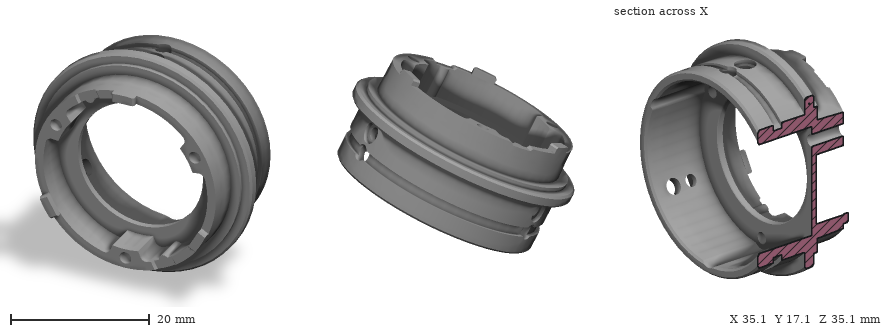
import cadquery as cq
import math


body_height = 16.1
tab_height = 1.0
rear_radius = 15.58
flange_radius = 17.55
flange_start = 8.8
flange_end = 10.63
step_radius = 16.05
step_end = 11.3
nose_base_radius = 14.55
nose_tip_radius = 14.42
groove_radius = 15.0
groove_start = 3.0
groove_end = 4.5
edge_chamfer = 0.3

bore_radius = 10.0
rear_bore_radius = 14.05
rear_bore_chamfer = 0.3
shoulder_chamfer = 0.1
shoulder_thickness = 1.02
pocket_radius = 13.12
pocket_depth = 5.0
pocket_floor = body_height - pocket_depth
rear_bore_end = pocket_floor - shoulder_thickness

boss_angles = (30, 150, 270)
boss_inner_radius = 11.4
boss_half_angle = 10.3
boss_flank_angle = 23.0
boss_fillet = 1.0
boss_root_half_angle = boss_flank_angle - math.degrees(math.asin(
    boss_inner_radius * math.sin(math.radians(boss_flank_angle - boss_half_angle)) / pocket_radius
))
screw_circle_radius = 12.8
screw_hole_diameter = 1.85
screw_head_radius = 1.75
screw_head_lip_fillet = 0.7

rib_angles = (116.5, 296.5)
rib_radius = 0.77
rib_center_radius = 13.3
rib_fillet = 0.2
notch_depth = 0.4
notch_outer_half_angle = 6.9
notch_inner_half_angle = 8.2
notch_inner_reach = 0.88
notch_side_bulge = 0.15
notch_wall_taper = 38.0

tab_angles = (90, 210, 330)
tab_width = 3.58
tab_inner_flat = 13.05
tab_chamfer = 0.25
radial_hole_angles = (90, 210, 330)
groove_hole_height = (groove_start + groove_end) / 2
groove_hole_diameter = 2.5
screw_seat_height = 7.0
seat_hole_diameter = 1.9
seat_diameter = 3.25
seat_floor_radius = 14.9

overrun = 0.35


def polar(radius, angle):
    """Point at a radius and an angle in degrees, in the plane across the axis."""
    return (radius * math.cos(math.radians(angle)), radius * math.sin(math.radians(angle)))


def plane_at(height):
    """Plane across the axis at a height, facing the front."""
    return cq.Workplane("XZ", origin=(0, -height, 0))


def disc(radius, start, end):
    return plane_at(start).circle(radius).extrude(end - start)


def turn(body, angle):
    """Turn a body made at angle zero to its place around the axis."""
    return body.rotate((0, 0, 0), (0, -1, 0), angle)


def outer_body():
    rear = disc(rear_radius, 0, flange_start).faces(">Y").chamfer(edge_chamfer)
    groove = disc(flange_radius, groove_start, groove_end).cut(disc(groove_radius, groove_start, groove_end))
    flange = disc(flange_radius, flange_start, flange_end).faces("<Y or >Y").chamfer(edge_chamfer)
    step = disc(step_radius, flange_end, step_end)
    nose_length = body_height + tab_height - step_end
    nose_taper = math.degrees(math.atan2(nose_base_radius - nose_tip_radius, nose_length))
    nose = plane_at(step_end).circle(nose_base_radius).extrude(nose_length, taper=nose_taper)
    return rear.cut(groove).union(flange).union(step).union(nose)


def boss():
    """Flat-flanked boss at angle zero, running into the pocket wall."""
    flank_reach = pocket_radius + overrun - boss_inner_radius
    corner = polar(boss_inner_radius, boss_half_angle)
    root = (corner[0] + flank_reach, corner[1] + flank_reach * math.tan(math.radians(boss_flank_angle)))
    return (
        plane_at(pocket_floor)
        .moveTo(corner[0], -corner[1])
        .threePointArc((boss_inner_radius, 0), corner)
        .lineTo(*root)
        .lineTo(root[0], -root[1])
        .close()
        .extrude(pocket_depth)
    )


def rib():
    return plane_at(pocket_floor).center(rib_center_radius, 0).circle(rib_radius).extrude(pocket_depth)


def fillet_axial_edges(body, radius, angles, height, fillet):
    """Round the edges parallel to the axis that lie at a radius and the given angles."""
    for angle in angles:
        x, z = polar(radius, angle)
        body = body.edges("|Y").edges(cq.NearestToPointSelector((x, -height, z))).fillet(fillet)
    return body


def either_side(centers, half_angle):
    return [center + side * half_angle for center in centers for side in (-1, 1)]


def front_pocket():
    """Front pocket, leaving the screw bosses and the half-round ribs standing on its wall."""
    pocket = disc(pocket_radius, pocket_floor, body_height)
    middle = (pocket_floor + body_height) / 2
    for angle in boss_angles:
        pocket = pocket.cut(turn(boss(), angle))
    boss_roots = either_side(boss_angles, boss_root_half_angle)
    pocket = fillet_axial_edges(pocket, pocket_radius, boss_roots, middle, boss_fillet)
    for angle in rib_angles:
        pocket = pocket.cut(turn(rib(), angle))
    rib_roots = either_side(rib_angles, math.degrees(rib_radius / pocket_radius))
    return fillet_axial_edges(pocket, pocket_radius, rib_roots, middle, rib_fillet)


def rear_cavity():
    """Rear bore with a clearance groove for each screw head along its wall."""
    cavity = disc(rear_bore_radius, 0, rear_bore_end)
    head = plane_at(0).center(screw_circle_radius, 0).circle(screw_head_radius).extrude(rear_bore_end)
    for angle in boss_angles:
        cavity = cavity.union(turn(head, angle))
    lip_half_angle = math.degrees(math.acos(
        (rear_bore_radius**2 + screw_circle_radius**2 - screw_head_radius**2)
        / (2 * rear_bore_radius * screw_circle_radius)
    ))
    lips = either_side(boss_angles, lip_half_angle)
    return fillet_axial_edges(cavity, rear_bore_radius, lips, rear_bore_end / 2, screw_head_lip_fillet)


def countersink(radius, start, depth):
    """Cone that narrows from a height toward the front, down to the given radius."""
    return plane_at(start).circle(radius + depth).extrude(depth, taper=45)


def notch():
    """Shallow notch across the rim at angle zero, with bowed, sloping side walls."""
    outer = polar(nose_base_radius + overrun, notch_outer_half_angle)
    inner = polar(pocket_radius - notch_inner_reach, notch_inner_half_angle)
    middle = ((outer[0] + inner[0]) / 2, (outer[1] + inner[1]) / 2 + notch_side_bulge)
    return (
        plane_at(body_height)
        .moveTo(*outer)
        .threePointArc(middle, inner)
        .lineTo(inner[0], -inner[1])
        .threePointArc((middle[0], -middle[1]), (outer[0], -outer[1]))
        .close()
        .extrude(-notch_depth, taper=notch_wall_taper)
    )


def tab_block():
    """Chamfered block at angle zero that keeps one tab standing on the rim."""
    length = nose_base_radius - tab_inner_flat + overrun
    return (
        plane_at(body_height)
        .center(tab_inner_flat + length / 2, 0)
        .rect(length, tab_width)
        .extrude(tab_height)
        .faces("<Y").edges("|X").chamfer(tab_chamfer)
    )


def space_between_tabs():
    space = disc(nose_base_radius, body_height, body_height + tab_height)
    for angle in tab_angles:
        space = space.cut(turn(tab_block(), angle))
    return space


def radial_cylinder(diameter, height, inner, outer):
    """Cylinder along the radius at angle zero."""
    return (
        cq.Workplane("YZ", origin=(inner, -height, 0))
        .circle(diameter / 2)
        .extrude(outer - inner)
    )


def radial_holes():
    """Groove hole and counterbored screw hole at angle zero."""
    groove_hole = radial_cylinder(groove_hole_diameter, groove_hole_height, bore_radius, flange_radius)
    seat_hole = radial_cylinder(seat_hole_diameter, screw_seat_height, bore_radius, flange_radius)
    seat = radial_cylinder(seat_diameter, screw_seat_height, seat_floor_radius, flange_radius)
    return (groove_hole, seat_hole, seat)


result = outer_body()
result = result.cut(space_between_tabs())
result = result.cut(disc(bore_radius, 0, body_height))
result = result.cut(rear_cavity())
result = result.cut(countersink(rear_bore_radius, 0, rear_bore_chamfer))
result = result.cut(countersink(bore_radius, rear_bore_end, shoulder_chamfer))
result = result.cut(front_pocket())
for angle in rib_angles:
    result = result.cut(turn(notch(), angle))
for angle in boss_angles:
    x, z = polar(screw_circle_radius, angle)
    result = result.cut(plane_at(0).center(x, z).circle(screw_hole_diameter / 2).extrude(body_height))
for angle in radial_hole_angles:
    for cutter in radial_holes():
        result = result.cut(turn(cutter, angle))